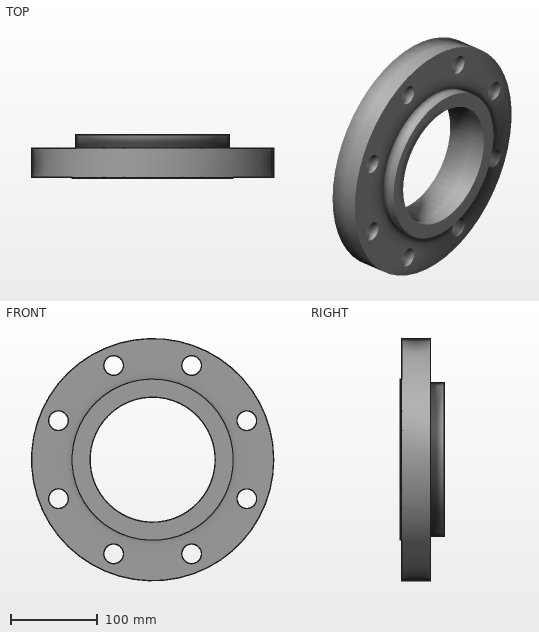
import cadquery as cq

flange_diameter = 279.5
hub_diameter = 177.7
raised_face_diameter = 185.8
bore_diameter = 144.0

total_length = 50.9
raised_face_height = 1.7
flange_thickness = 33.5
hub_length = total_length - raised_face_height - flange_thickness

bolt_hole_diameter = 22.4
bolt_circle_diameter = 235.0
bolt_hole_count = 8
bolt_pitch_angle = 360 / bolt_hole_count


def disc(diameter, start_y, length):
    """Solid cylinder about the Y axis, growing toward +Y from start_y."""
    base = cq.Workplane("XZ", origin=(0, start_y, 0))
    return base.circle(diameter / 2).extrude(-length)


raised_face = disc(raised_face_diameter, 0, raised_face_height)
plate = disc(flange_diameter, raised_face_height, flange_thickness)
hub = disc(hub_diameter, raised_face_height + flange_thickness, hub_length)
body = raised_face.union(plate).union(hub)

bore = disc(bore_diameter, 0, total_length)

bolt_holes = (
    cq.Workplane("XZ")
    .polarArray(bolt_circle_diameter / 2, bolt_pitch_angle / 2, 360, bolt_hole_count)
    .circle(bolt_hole_diameter / 2)
    .extrude(-total_length)
)

result = body.cut(bore).cut(bolt_holes)